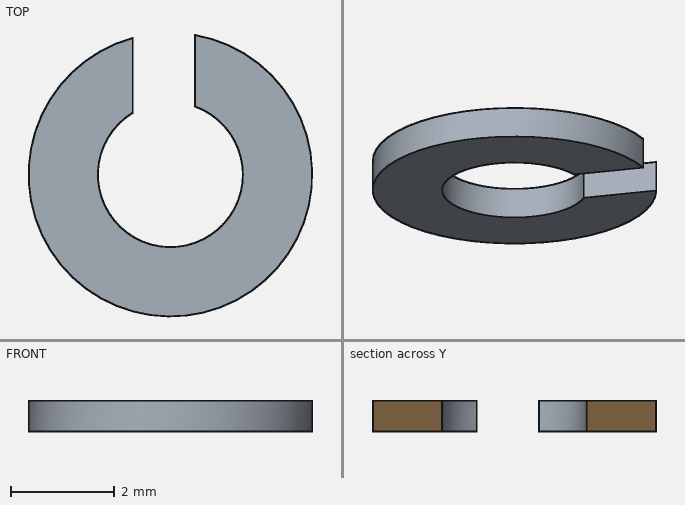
import cadquery as cq

outer_diameter = 5.49
bore_diameter = 2.8
thickness = 0.6

slot_width = 1.195
slot_center_x = -0.125

washer = (
    cq.Workplane("XY")
    .circle(outer_diameter / 2)
    .circle(bore_diameter / 2)
    .extrude(thickness)
)

slot_length = outer_diameter
slot_cutter = (
    cq.Workplane("XY")
    .center(slot_center_x, slot_length / 2)
    .rect(slot_width, slot_length)
    .extrude(thickness)
)

result = washer.cut(slot_cutter)